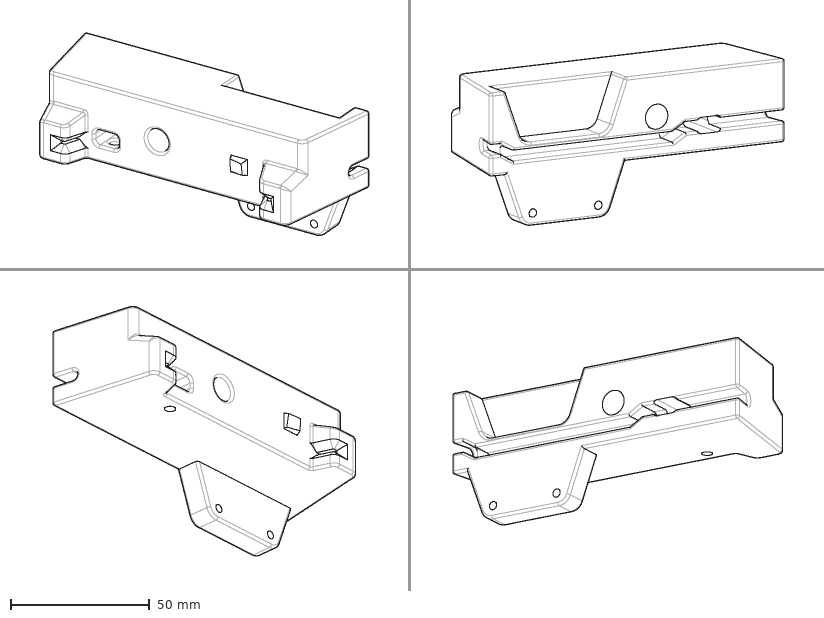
import cadquery as cq
import math

overall_width = 121.3
overall_depth = 44.0
overall_height = 50.5
body_depth = 35.1
body_height = 30.7
tab_height = overall_height - body_height

edge_radius = 1.0
corner_radius = 3.0
side_taper = math.tan(math.radians(10))
draft_angle = 20
draft = math.tan(math.radians(draft_angle))
overlap = 6.1

side_half = overall_width / 2 + edge_radius * (side_taper + math.hypot(1, side_taper) - 1)

leg_depth = overall_depth - body_depth
leg_inner_x = 41.3
leg_foot_x = leg_inner_x - leg_depth * draft
leg_tip_z = 15.5
leg_foot_z = leg_tip_z + leg_depth * draft

slit_z = 7.6
slit_height = 1.1
slit_bevel = 2.7
slit_end_x = 44.9
slit_open_x = leg_inner_x - 9.7

tab_x = 29.7
tab_width = 49.4
tab_depth = 10.0
tab_corner_radius = 5.0
tab_hole_diameter = 3.0
tab_hole_spacing = 26.9
tab_hole_drop = 15.2
pocket_depth = 10.3

bore_diameter = 9.2
bore_x = -7.8
bore_z = 14.9
window_x = -29.5
window_z = 9.7
window_width = 10.2
window_height = 6.1
window_radius = 2.0
drain_diameter = 4.0
drain_y = -29.1
drain_rim_radius = 1.0

groove_width = 4.0
groove_depth = 10.5
groove_z = 9.7
groove_dip = 3.0
groove_low_z = groove_z - groove_dip
groove_ramp = groove_dip / math.tan(math.radians(30))
groove_low_start_x = -14.5
groove_low_end_x = 51.0
groove_overrun = 2.4

button_x = 27.24
button_z = 14.38
button_width = 6.9
button_height = 6.4
button_rise = 2.0
button_turn = 10
button_tip = 7


def side_x(y):
    """Half the width between the side faces at depth y."""
    return side_half + y * side_taper


front_half = side_x(-body_depth)
leg_tip_half = side_x(-overall_depth)


def same(a, b):
    return abs(a - b) < 0.01


def edges_where(part, test):
    """Edges of the part whose middle point and bounding box pass the test."""
    found = [e for e in part.edges().vals() if test(e.Center(), e.BoundingBox())]
    return part.newObject(found)


def body_block():
    outline = [
        (-side_half, 0),
        (side_half, 0),
        (front_half, -body_depth),
        (-front_half, -body_depth),
    ]
    return cq.Workplane("XY").polyline(outline).close().extrude(body_height)


def leg(side):
    """Leg at one front corner, drafted on its inner face and on top."""
    inside_y = overlap - body_depth
    plan = [
        (side * leg_foot_x, -body_depth),
        (side * leg_inner_x, -overall_depth),
        (side * leg_tip_half, -overall_depth),
        (side * side_x(inside_y), inside_y),
        (side * leg_foot_x, inside_y),
    ]
    profile = [
        (inside_y, 0),
        (-overall_depth, 0),
        (-overall_depth, leg_tip_z),
        (-body_depth, leg_foot_z),
        (inside_y, leg_foot_z),
    ]
    block = cq.Workplane("XY").polyline(plan).close().extrude(leg_foot_z)
    wedge = cq.Workplane("YZ").polyline(profile).close().extrude(overall_width, both=True)
    return block.intersect(wedge)


def body_with_legs():
    part = body_block().union(leg(-1)).union(leg(1)).clean()
    for side in (-1, 1):
        outer_corner = edges_where(
            part,
            lambda c, b: c.x * side > leg_tip_half - 0.6 and c.y < 1.2 - body_depth
            and 0.01 < c.z < body_height - 0.01,
        )
        part = outer_corner.fillet(corner_radius)
        inner_corner = edges_where(
            part, lambda c, b: b.zlen > 1.2 and same(b.xlen, 0) and same(c.x, side * leg_inner_x)
        )
        part = inner_corner.fillet(corner_radius)
    return part


def tab_outline(top_z, depth):
    half_top = tab_width / 2
    half_bottom = half_top - tab_height * draft
    outline = [
        (-half_top, 0),
        (-half_bottom, -tab_height),
        (half_bottom, -tab_height),
        (half_top, 0),
    ]
    plate = cq.Workplane("XZ", origin=(tab_x, 0, top_z)).polyline(outline).close().extrude(depth)
    return plate.edges("|Y and <Z").fillet(tab_corner_radius)


def groove_section(x, z):
    radius = groove_width / 2
    center_y = radius - groove_depth
    return (
        cq.Workplane("YZ", origin=(x, 0, z))
        .moveTo(1.2, -radius)
        .lineTo(center_y, -radius)
        .threePointArc((-groove_depth, 0), (center_y, radius))
        .lineTo(1.2, radius)
        .close()
        .wires()
        .val()
    )


def groove():
    end_x = overall_width / 2 + groove_overrun
    path = [
        (-end_x, groove_z),
        (groove_low_start_x - groove_ramp, groove_z),
        (groove_low_start_x, groove_low_z),
        (groove_low_end_x, groove_low_z),
        (groove_low_end_x + groove_ramp, groove_z),
        (end_x, groove_z),
    ]
    return cq.Workplane(cq.Solid.makeLoft([groove_section(x, z) for x, z in path], True))


def window():
    return (
        cq.Workplane("XZ", origin=(window_x, 0, window_z))
        .rect(window_width, window_height)
        .extrude(overall_depth)
        .edges("|Y")
        .fillet(window_radius)
    )


def y_cylinder(diameter, x, z, depth):
    return cq.Workplane("XZ", origin=(x, 0, z)).circle(diameter / 2).extrude(depth)


def is_rounded(c, b):
    """Edges of the outer faces, leg tops, tab and groove mouths, but not the tab's joint."""
    flat_y = same(b.ymin, b.ymax)
    flat_z = same(b.zmin, b.zmax)
    if same(c.z, 0) and abs(c.x - tab_x) < tab_width / 2 + 0.1 and c.y > -tab_depth - 0.1:
        return False
    if flat_z and (same(c.z, 0) or same(c.z, body_height)):
        return True
    if flat_y and any(same(c.y, -d) for d in (0, body_depth, overall_depth)):
        return True
    if flat_y and same(c.y, -tab_depth) and c.z < -0.1:
        return True
    on_groove_mouth = (
        abs(c.x) > 57 and b.xlen < 2.4 and b.ylen > 1.2 and b.ymax < 0.01
        and abs(c.z - groove_z) < groove_width / 2 + 0.06 and b.zlen < groove_width + 0.1
    )
    on_leg_top = (
        c.y < -body_depth - 0.4 and leg_tip_z - 0.6 < c.z < leg_foot_z + 0.1
        and abs(c.x) < leg_tip_half - 3.6
    )
    return on_groove_mouth or on_leg_top


def slit_cutter():
    """Slit through the +X leg with bevels along its front and inner mouths."""
    front_y = -overall_depth
    length = slit_end_x - slit_open_x
    mouth_end_x = slit_end_x + slit_bevel
    mouth_height = slit_height + 2 * slit_bevel
    gap = cq.Workplane("XY", origin=(slit_open_x, front_y, slit_z)).box(
        length, leg_depth, slit_height, centered=(False, False, True)
    )
    front_mouth = (
        cq.Workplane("XZ", origin=((mouth_end_x + slit_open_x) / 2, front_y, slit_z))
        .rect(mouth_end_x - slit_open_x, mouth_height)
        .extrude(-slit_bevel, taper=45)
    )

    far_x = leg_inner_x + 4 * overlap
    near_x = leg_foot_x - 4 * overlap
    deep_y = overlap - body_depth
    outline = [
        (near_x, -body_depth),
        (leg_foot_x, -body_depth),
        (leg_inner_x, front_y),
        (far_x, front_y),
        (far_x, deep_y),
        (near_x, deep_y),
    ]
    plate = cq.Workplane("XY").polyline(outline).close().extrude(1.2)
    for x, y, radius in (
        (leg_inner_x, front_y, corner_radius),
        (leg_foot_x, -body_depth, edge_radius),
    ):
        corner = edges_where(plate, lambda c, b: same(c.x, x) and same(c.y, y))
        plate = corner.fillet(radius)
    leg_wire = plate.faces("<Z").wires().val()
    kept = cq.Workplane("XY").add(leg_wire).toPending().extrude(slit_bevel, taper=45)
    slab = cq.Workplane("XY", origin=(slit_open_x, front_y, 0)).box(
        length, leg_depth, slit_bevel, centered=False
    )
    bevel = slab.cut(kept)
    lower = bevel.translate((0, 0, slit_z - mouth_height / 2))
    upper = bevel.mirror("XY").translate((0, 0, slit_z + mouth_height / 2))
    return gap.union(front_mouth).union(lower).union(upper)


def button():
    """Drafted block, starting inside the body and cut off by a slanting plane."""
    root = 1.2
    block = (
        cq.Workplane("XZ", origin=(0, root, 0))
        .rect(button_width + 2 * root * draft, button_height + 2 * root * draft)
        .extrude(overlap, taper=draft_angle)
    )
    outside = (
        cq.Workplane("XZ")
        .rect(6 * overlap, 6 * overlap)
        .extrude(2 * overlap)
        .rotate((0, 0, 0), (0, 0, 1), -button_turn)
        .rotate((0, 0, 0), (1, 0, 0), button_tip)
        .translate((0, -button_rise, 0))
    )
    return block.cut(outside).translate((button_x, -body_depth, button_z))


part = body_with_legs().cut(tab_outline(body_height, pocket_depth))
part = part.cut(groove()).union(tab_outline(0, tab_depth))
part = edges_where(part, is_rounded).fillet(edge_radius)

part = part.cut(window()).cut(y_cylinder(bore_diameter, bore_x, bore_z, overall_depth))
front_rims = edges_where(
    part,
    lambda c, b: same(b.ymin, -body_depth) and same(b.ymax, -body_depth)
    and -36.4 < c.x < 0 and 4.9 < c.z < 18.2,
)
part = front_rims.fillet(edge_radius)

drain = cq.Workplane("XY").center(window_x, drain_y).circle(drain_diameter / 2).extrude(window_z)
part = part.cut(drain)
window_floor_z = window_z - window_height / 2
drain_rim = edges_where(
    part,
    lambda c, b: same(b.zmin, window_floor_z) and same(b.zmax, window_floor_z)
    and abs(c.x - window_x) < 0.1 and abs(c.y - drain_y) < 0.1,
)
part = drain_rim.fillet(drain_rim_radius)

for side in (-1, 1):
    hole_x = tab_x + side * tab_hole_spacing / 2
    part = part.cut(y_cylinder(tab_hole_diameter, hole_x, -tab_hole_drop, tab_depth))

part = part.cut(slit_cutter()).cut(slit_cutter().mirror("YZ"))
result = part.union(button())